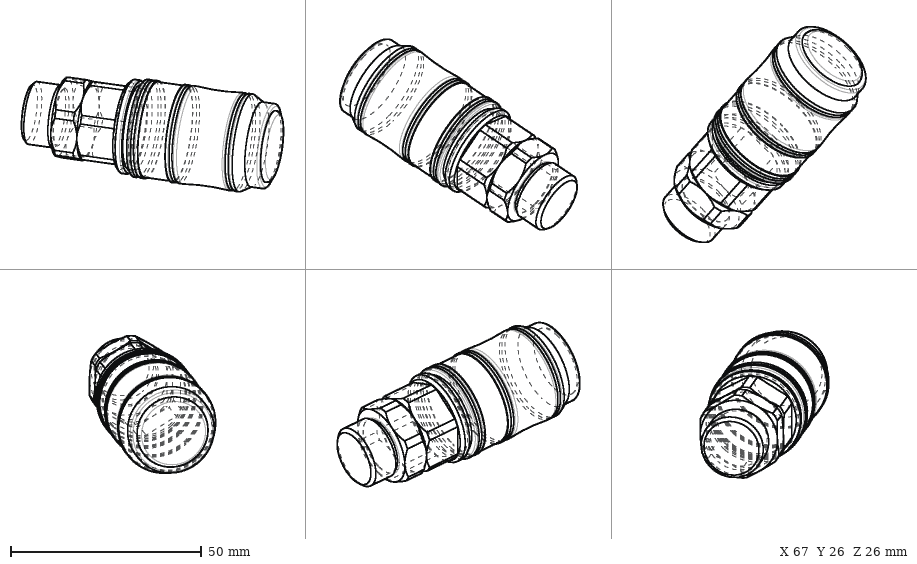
import cadquery as cq

length = 67.0

spigot_radius = 16.7 / 2
spigot_chamfer = 0.95
relief_start = 7.5
relief_radius = 7.65
relief_end = 8.6
relief_hollow = 0.1
relief_fillet = 0.35

hex_flats = 20.8
hex_corner_radius = 22.8 / 2
hex_chamfer = hex_corner_radius - hex_flats / 2
front_hex_start = 8.9
hex_joint = 16.0
front_hex_twist = -2.7

collar_start = 26.2
collar_radius = 25.0 / 2
collar_chamfer = 0.95
collar_end = 28.8
collar_fillet = 0.6
collar_fillet_drop = 0.3
neck_radius = 22.4 / 2

sleeve_start = 30.3
sleeve_radius = 26.0 / 2
sleeve_edge_fillet = 0.4
groove_centers = (31.8, 42.35, 57.7)
groove_half_width = 0.4
groove_round = 0.35
groove_shoulder_drop = 0.1
groove_depth = 0.35
groove_edge_radius = sleeve_radius - groove_shoulder_drop
groove_floor_radius = sleeve_radius - groove_depth
band_start = 33.35
band_end = 40.9
band_radius = 25.4 / 2
waist_start = 43.95
waist_end = 56.4
waist_radius = 25.3 / 2
taper_start = 59.2

end_ring_start = 62.2
end_ring_radius = 22.6 / 2
end_ring_end = 66.0
end_ring_fillet = 0.6
cap_radius = 19.0 / 2
cap_fillet = 0.95


def add_groove(profile, center):
    """Continue the sleeve outline through one groove with rounded shoulders."""
    shoulder = groove_half_width + groove_round
    middle = groove_half_width + 0.5 * groove_round
    middle_radius = sleeve_radius - groove_shoulder_drop / 4
    return (
        profile.lineTo(center - shoulder, sleeve_radius)
        .threePointArc((center - middle, middle_radius), (center - groove_half_width, groove_edge_radius))
        .threePointArc((center, groove_floor_radius), (center + groove_half_width, groove_edge_radius))
        .threePointArc((center + middle, middle_radius), (center + shoulder, sleeve_radius))
    )


def make_turned_body():
    """Revolve everything except the hexagons; under them it is only a round core."""
    profile = (
        cq.Workplane("XY")
        .lineTo(0, spigot_radius - spigot_chamfer)
        .lineTo(spigot_chamfer, spigot_radius)
        .lineTo(relief_start, spigot_radius)
        .sagittaArc((relief_end, relief_radius), -relief_hollow)
        .radiusArc((front_hex_start, relief_radius + relief_fillet), -relief_fillet)
        .lineTo(collar_start, relief_radius + relief_fillet)
        .lineTo(collar_start, collar_radius - collar_chamfer)
        .lineTo(collar_start + collar_chamfer, collar_radius)
        .lineTo(collar_end - collar_fillet, collar_radius)
        .tangentArcPoint((collar_end, collar_radius - collar_fillet_drop), relative=False)
        .lineTo(collar_end, neck_radius)
        .lineTo(sleeve_start, neck_radius)
        .lineTo(sleeve_start, sleeve_radius - sleeve_edge_fillet)
        .tangentArcPoint((sleeve_start + sleeve_edge_fillet, sleeve_radius), relative=False)
    )
    front_groove, middle_groove, rear_groove = groove_centers
    profile = (
        add_groove(profile, front_groove)
        .lineTo(band_start, sleeve_radius)
        .lineTo(band_start, band_radius)
        .lineTo(band_end, band_radius)
        .lineTo(band_end, sleeve_radius)
    )
    waist_middle = (waist_start + waist_end) / 2
    profile = (
        add_groove(profile, middle_groove)
        .lineTo(waist_start, sleeve_radius)
        .threePointArc((waist_middle, waist_radius), (waist_end, sleeve_radius))
    )
    profile = (
        add_groove(profile, rear_groove)
        .lineTo(taper_start, sleeve_radius)
        .lineTo(end_ring_start, end_ring_radius)
        .lineTo(end_ring_end - end_ring_fillet, end_ring_radius)
        .tangentArcPoint((end_ring_end, end_ring_radius - end_ring_fillet), relative=False)
        .lineTo(end_ring_end, cap_radius)
        .lineTo(length - cap_fillet, cap_radius)
        .tangentArcPoint((length, cap_radius - cap_fillet), relative=False)
        .lineTo(length, 0)
        .close()
    )
    return profile.revolve(360, (0, 0, 0), (1, 0, 0))


def make_hex(start, end, chamfered_ends, twist):
    """Hexagon with flats toward +Y and -Y, its corners turned and chamfered."""
    prism = (
        cq.Workplane("YZ", origin=(start, 0, 0))
        .polygon(6, hex_flats, circumscribed=True)
        .extrude(end - start)
        .rotate((0, 0, 0), (1, 0, 0), twist)
    )
    envelope = (
        cq.Workplane("YZ", origin=(start, 0, 0))
        .circle(hex_corner_radius)
        .extrude(end - start)
        .faces(chamfered_ends)
        .chamfer(hex_chamfer)
    )
    return prism.intersect(envelope)


front_hex = make_hex(front_hex_start, hex_joint, "|X", front_hex_twist)
rear_hex = make_hex(hex_joint, collar_start, "<X", 0)
result = make_turned_body().union(front_hex).union(rear_hex)